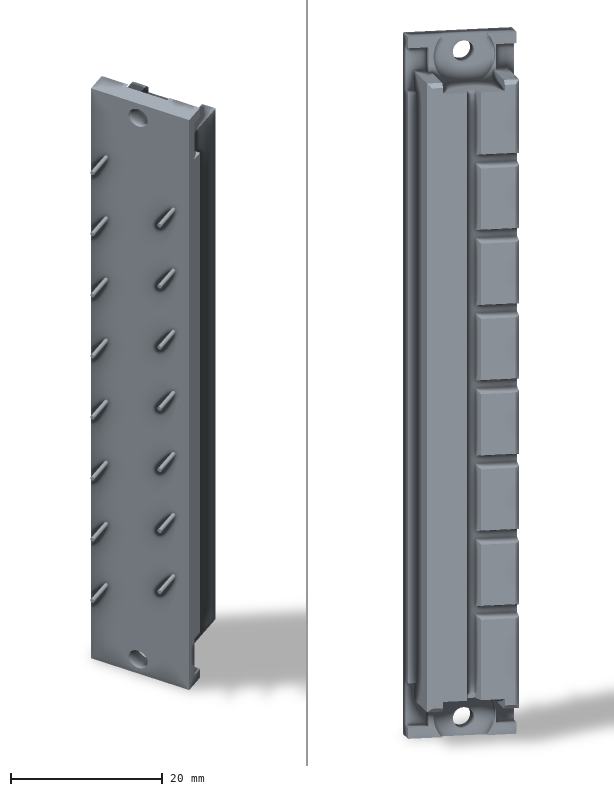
import cadquery as cq

plate_width = 14.7
plate_length = 94.75
plate_thickness = 3.0
plate_end = plate_length / 2

total_depth = 14.1
pin_length = 4.0
body_top = total_depth - pin_length
body_width = 12.4
body_end = plate_end - 4.9
body_chamfer = 0.6

core_width = 8.3
core_end = body_end - 1.4

rebate_floor = 1.5
rebate_outer = plate_end - 1.5
rebate_inner = plate_end - 7.5
pad_width = 9.1

hole_diameter = 2.8
hole_x = -0.3
hole_z = plate_end - 2.4
seat_diameter = 8.3
seat_z = plate_end - 2.8
seat_depth = 0.6

groove_top_width = 1.9
groove_floor_width = 1.0
groove_depth = 1.7

pin_diameter = 0.6
pin_pitch = 5.08
pin_x = 5.0
pin_count = 15
pin_middle_z = 1.2
pin_root = 0.95


def block(width, y_from, y_to, z_from, z_to):
    """Box centred on X between two Y and two Z positions."""
    box = cq.Workplane("XY").box(width, y_to - y_from, z_to - z_from, centered=(True, False, False))
    return box.translate((0, y_from, z_from))


def cylinder_along_y(diameter, x, z, y_from, y_to):
    """Round bar parallel to Y."""
    axis = cq.Vector(0, 1, 0)
    return cq.Workplane(cq.Solid.makeCylinder(diameter / 2, y_to - y_from, cq.Vector(x, y_from, z), axis))


def tapered_groove(plane, length):
    """Trapezoid cutter on the body top; local Y of the plane is the part's Y."""
    return (
        cq.Workplane(plane)
        .moveTo(-groove_top_width / 2, body_top)
        .lineTo(-groove_floor_width / 2, body_top - groove_depth)
        .lineTo(groove_floor_width / 2, body_top - groove_depth)
        .lineTo(groove_top_width / 2, body_top)
        .close()
        .extrude(length)
    )


def pin_z(index):
    """Height of a pin, counted from the top."""
    return pin_middle_z + ((pin_count - 1) / 2 - index) * pin_pitch


plate = block(plate_width, 0, plate_thickness, -plate_end, plate_end)
for z_from in (rebate_inner, -rebate_outer):
    z_to = z_from + rebate_outer - rebate_inner
    plate = plate.cut(block(plate_width, rebate_floor, plate_thickness, z_from, z_to))

plate = plate.union(block(pad_width, rebate_floor, plate_thickness, -rebate_outer, rebate_outer))

seat_floor = plate_thickness - seat_depth
for side in (-1, 1):
    plate = plate.cut(cylinder_along_y(hole_diameter, hole_x, side * hole_z, 0, plate_thickness))
    plate = plate.cut(cylinder_along_y(seat_diameter, hole_x, side * seat_z, seat_floor, plate_thickness))

body = block(body_width, rebate_floor, body_top, -body_end, body_end)
body = body.faces(">Y").edges().chamfer(body_chamfer)
for z_from in (core_end, -body_end):
    body = body.cut(block(core_width, rebate_floor, body_top, z_from, z_from + body_end - core_end))
result = plate.union(body)

central_plane = cq.Plane(origin=(0, 0, -body_end), xDir=(1, 0, 0), normal=(0, 0, 1))
result = result.cut(tapered_groove(central_plane, 2 * body_end))

for index in range(1, pin_count, 2):
    side_plane = cq.Plane(origin=(-body_width / 2, 0, pin_z(index)), xDir=(0, 0, -1), normal=(1, 0, 0))
    result = result.cut(tapered_groove(side_plane, body_width / 2))

for index in range(pin_count):
    x = -pin_x if index % 2 == 0 else pin_x
    result = result.union(cylinder_along_y(pin_diameter, x, pin_z(index), -pin_length, pin_root))